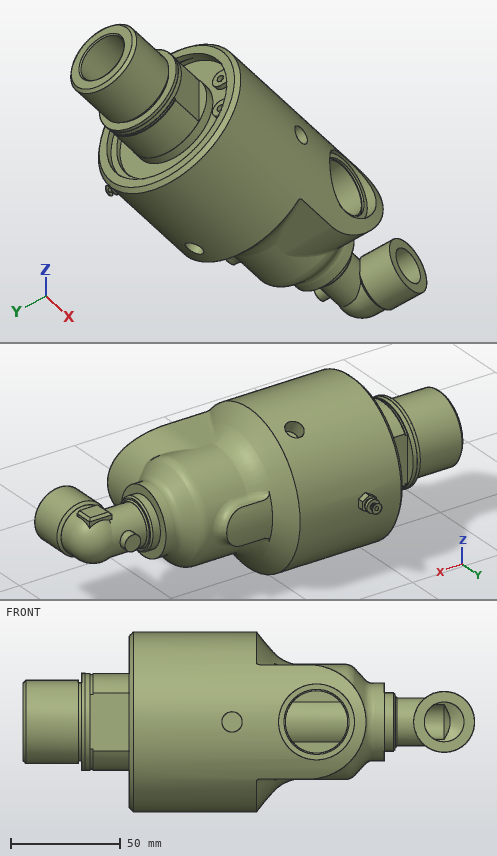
import cadquery as cq
import math


shaft_dia = 38.3
shaft_chamfer = 1.5
thread_end = 25.5
relief_dia = 36.0
seal_ring_start = 27.0
seal_ring_end = 28.5
seal_ring_dia = 44.7
shoulder_dia = 44.5
shoulder_end = 30.9
flat_end = 49.7
flat_spacing = 35.6
wrench_dia = 44.5
groove_dia = 43.5
groove_end = 32.1
shaft_bore_dia = 25.0
shaft_bore_chamfer = 0.6
shaft_bore_depth = 62.1

housing_dia = 82.6
housing_start = 48.7
housing_end = 107.0
housing_chamfer = 2.0
recess_dia = 69.5
recess_floor = 54.3
waist_dia = 53.0
cone_foot_x = 114.5
cone_foot_dia = 64.6
waist_start = 124.3
waist_end = 147.5
shoulder_cone_start = 151.8
shoulder_cone_dia = 49.7
shoulder_cone_end = 157.0
neck_dia = 35.8
neck_blend_dia = 38.5
neck_blend_end = 161.2
neck_end = 165.7

ring_front = 51.8
ring_bore_dia = 68.0
ring_bore_offset = 2.5
lug_dia = 9.1
lug_hole_dia = 3.5
lug_y = -28.5
lug_z = 9.5

drain_x = 96.0
drain_dia = 9.3
drain_depth = 8.3
drain_count = 3

boss_x = 131.1
port_boss_width = 52.5
port_joint_low = -27.0
port_fillet = 2.0
port_x = 134.6
port_mouth_dia = 34.8
port_mouth_depth = 5.2
port_dia = 28.5
port_land_dia = 29.8
port_land_depth = 1.0
siphon_dia = 25.0
siphon_exposed_width = 18.2
pad_width = 19.9
pad_crown_dia = 62.5
pad_inner_y = 16.5
pad_joint_high = 27.3
pad_fillet = 4.1

flange_dia = 27.0
flange_end = 170.7
flange_chamfer = 0.8
root_land = 0.1
pipe_dia = 22.0
pipe_bore_dia = 16.0
elbow_dia = 25.0
elbow_y = -1.2
socket_dia = 28.0
socket_start = -8.7
socket_end = -28.0
socket_land = 0.1
socket_bore_dia = 18.2
socket_bore_end = -0.5
drill_half_angle = math.radians(59)
length = 207.1
elbow_x = length - socket_dia / 2
nub_x = 182.0
nub_dia = 8.7
nub_top = 15.0
block_length = 12.6
block_front = -4.8
block_back = 5.2
block_top = 13.3
block_chamfer = 1.2

nipple_x = 70.6
nipple_hex = 7.7
nipple_hex_top = 44.5
nipple_root_depth = 2.0
nipple_collar_dia = 5.4
nipple_collar_top = 46.0
nipple_rim_dia = 7.0
nipple_rim_top = 47.6
nipple_seat_dia = 3.5
nipple_seat_top = 48.3
nipple_pin_dia = 2.0
nipple_pin_top = 50.3
nipple_cap_dia = 5.4
nipple_top = 50.65


def cylinder_x(dia, start, end):
    return cq.Workplane("YZ", origin=(start, 0, 0)).circle(dia / 2).extrude(end - start)


def cylinder_y(dia, x, start, end):
    """Cylinder parallel to Y at z = 0."""
    plane = cq.Plane(origin=(x, start, 0), xDir=(1, 0, 0), normal=(0, math.copysign(1, end - start), 0))
    return cq.Workplane(plane).circle(dia / 2).extrude(abs(end - start))


def drill(dia, depth):
    """Drill along +Z from the origin: full diameter to the depth, then a pointed tip."""
    radius = dia / 2
    tip = depth + radius / math.tan(drill_half_angle)
    outline = [(0, 0), (radius, 0), (radius, depth), (0, tip)]
    return cq.Workplane("XZ").polyline(outline).close().revolve(360, (0, 0, 0), (0, 1, 0))


def make_shaft():
    thread = cylinder_x(shaft_dia, 0, thread_end).faces("<X").chamfer(shaft_chamfer)
    thread = thread.cut(cylinder_x(shaft_bore_dia, 0, thread_end))
    bore_mouth = thread.faces("<X").edges("%CIRCLE").edges(cq.selectors.RadiusNthSelector(0))
    thread = bore_mouth.chamfer(shaft_bore_chamfer)
    relief = cylinder_x(relief_dia, thread_end, seal_ring_start)
    seal_ring = cylinder_x(seal_ring_dia, seal_ring_start, seal_ring_end)
    shoulder = cylinder_x(shoulder_dia, seal_ring_end, shoulder_end)
    groove = cylinder_x(groove_dia, shoulder_end, groove_end)
    wrench_length = cylinder_x(wrench_dia, groove_end, flat_end)
    collar = cylinder_x(seal_ring_dia, flat_end, recess_floor)
    flats = (
        cq.Workplane("XY")
        .box(flat_end - shoulder_end, shoulder_dia, shoulder_dia)
        .cut(cq.Workplane("XY").box(flat_end, flat_spacing, shoulder_dia))
        .translate(((flat_end + shoulder_end) / 2, 0, 0))
    )
    flatted = groove.union(wrench_length).cut(flats)
    return thread.union(relief).union(seal_ring).union(shoulder).union(collar).union(flatted)


def make_housing():
    outer = housing_dia / 2
    return (
        cq.Workplane("XY")
        .moveTo(housing_start, 0)
        .lineTo(housing_start, outer - housing_chamfer)
        .lineTo(housing_start + housing_chamfer, outer)
        .lineTo(housing_end, outer)
        .lineTo(cone_foot_x, cone_foot_dia / 2)
        .tangentArcPoint((waist_start, waist_dia / 2), relative=False)
        .lineTo(waist_end, waist_dia / 2)
        .tangentArcPoint((shoulder_cone_start, shoulder_cone_dia / 2), relative=False)
        .lineTo(shoulder_cone_end, neck_blend_dia / 2)
        .tangentArcPoint((neck_blend_end, neck_dia / 2), relative=False)
        .lineTo(neck_end, neck_dia / 2)
        .lineTo(neck_end, 0)
        .close()
        .revolve(360, (0, 0, 0), (1, 0, 0))
    )


def round_ended_boss(width, crown_dia, inner_y, outer_y):
    """Boss running from the housing to a round end at boss_x, its top crowned about the X axis."""
    middle_y = (inner_y + outer_y) / 2
    height = abs(outer_y - inner_y)
    run = boss_x - housing_end
    block = cq.Workplane("XY").box(run, height, width).translate((housing_end + run / 2, middle_y, 0))
    block = block.union(cylinder_y(width, boss_x, inner_y, outer_y))
    return block.intersect(cylinder_x(crown_dia, housing_end, length))


def blend_boss(body, boss, low_y, high_y, radius):
    """Join a boss and fillet the seam whose edges are centred between low_y and high_y."""
    reach = housing_dia / 2
    seam = cq.selectors.BoxSelector((housing_end, low_y, -reach), (neck_end, high_y, reach))
    return body.union(boss).edges("%BSPLINE or %HYPERBOLA").edges(seam).fillet(radius)


def make_retaining_ring():
    ring = cylinder_x(recess_dia, ring_front, recess_floor)
    ring = ring.cut(cylinder_x(ring_bore_dia, ring_front, recess_floor).translate((0, -ring_bore_offset, 0)))
    thickness = recess_floor - ring_front
    opening_depth = recess_dia / 2 + lug_y
    opening = cq.Workplane("XY").box(thickness, opening_depth, 2 * lug_z)
    ring = ring.cut(opening.translate((ring_front + thickness / 2, lug_y - opening_depth / 2, 0)))
    seat = cylinder_x(recess_dia, ring_front, recess_floor)
    for side in (-1, 1):
        place = (0, lug_y, side * lug_z)
        lug = cylinder_x(lug_dia, ring_front, recess_floor).translate(place)
        web = cq.Workplane("XY").box(thickness, opening_depth, lug_dia)
        web = web.translate((ring_front + thickness / 2, lug_y - opening_depth / 2, side * lug_z))
        ring = ring.union(lug.union(web).intersect(seat))
        ring = ring.cut(cylinder_x(lug_hole_dia, ring_front, recess_floor).translate(place))
    return ring


def cut_port(body):
    """Stepped side port whose floor leaves a strip of the siphon tube standing proud."""
    mouth_y = -housing_dia / 2
    step_y = mouth_y + port_mouth_depth
    floor_y = -math.sqrt(siphon_dia**2 - siphon_exposed_width**2) / 2
    port = cylinder_y(port_mouth_dia, port_x, mouth_y, step_y)
    port = port.union(cylinder_y(port_land_dia, port_x, mouth_y, step_y + port_land_depth))
    port = port.union(cylinder_y(port_dia, port_x, step_y, floor_y))
    siphon = cylinder_x(siphon_dia, port_x - port_dia / 2, port_x + port_dia / 2)
    return body.cut(port.cut(siphon))


def cut_drains(body):
    outer = housing_dia / 2
    drain = cylinder_y(drain_dia, drain_x, -outer, drain_depth - outer)
    for i in range(drain_count):
        body = body.cut(drain.rotate((0, 0, 0), (1, 0, 0), i * 360 / drain_count))
    return body


def make_elbow():
    flange = cylinder_x(flange_dia, neck_end, flange_end).faces(">X").chamfer(flange_chamfer)
    pipe = cylinder_x(pipe_dia, flange_end, elbow_x)
    root = cylinder_x(pipe_dia + 2 * flange_chamfer, flange_end, flange_end + flange_chamfer)
    root = root.faces(">X").chamfer(flange_chamfer - root_land)
    bend = cq.Workplane("XY").sphere(elbow_dia / 2).translate((elbow_x, elbow_y, 0))
    leg = cylinder_y(elbow_dia, elbow_x, elbow_y, socket_start)
    socket = cylinder_y(socket_dia, elbow_x, socket_start, socket_end)
    socket = socket.faces(">Y").chamfer((socket_dia - elbow_dia) / 2 - socket_land)
    nub = cylinder_y(nub_dia, nub_x, 0, nub_top)
    block = (
        cq.Workplane("XY")
        .box(block_length, block_back - block_front, block_top, centered=(True, False, False))
        .faces(">Z")
        .edges("<X or >X or >Y")
        .chamfer(block_chamfer)
        .translate((elbow_x, block_front, 0))
    )
    elbow = flange.union(root).union(pipe).union(bend).union(leg).union(socket).union(nub).union(block)
    socket_drill = drill(socket_bore_dia, socket_bore_end - socket_end).rotate((0, 0, 0), (1, 0, 0), -90)
    pipe_drill = drill(pipe_bore_dia, elbow_x - flange_end).rotate((0, 0, 0), (0, 1, 0), 90)
    elbow = elbow.cut(socket_drill.translate((elbow_x, socket_end, 0)))
    return elbow.cut(pipe_drill.translate((flange_end, 0, 0)))


def make_nipple():
    """Hexagon with corners towards +Z and -Z, carrying a stack of round steps."""
    base = housing_dia / 2 - nipple_root_depth
    nipple = (
        cq.Workplane("XZ", origin=(nipple_x, base, 0))
        .polygon(6, nipple_hex / math.cos(math.pi / 6))
        .extrude(base - nipple_hex_top)
        .rotate((nipple_x, 0, 0), (nipple_x, 1, 0), 30)
    )
    steps = [
        (nipple_collar_dia, nipple_collar_top),
        (nipple_rim_dia, nipple_rim_top),
        (nipple_seat_dia, nipple_seat_top),
        (nipple_pin_dia, nipple_pin_top),
        (nipple_cap_dia, nipple_top),
    ]
    start = nipple_hex_top
    for dia, end in steps:
        nipple = nipple.union(cylinder_y(dia, nipple_x, start, end))
        start = end
    return nipple


housing = make_housing()
port_boss = round_ended_boss(port_boss_width, housing_dia, 0, -housing_dia / 2)
housing = blend_boss(housing, port_boss, port_joint_low, 0, port_fillet)
pad = round_ended_boss(pad_width, pad_crown_dia, pad_inner_y, pad_crown_dia / 2)
housing = blend_boss(housing, pad, pad_inner_y, pad_joint_high, pad_fillet)
housing = cut_port(housing)
housing = cut_drains(housing)
housing = housing.cut(cylinder_x(recess_dia, housing_start, recess_floor))
housing = housing.union(make_retaining_ring())

result = housing.union(make_shaft()).union(make_elbow()).union(make_nipple())
result = result.cut(cylinder_x(shaft_bore_dia, 0, shaft_bore_depth))